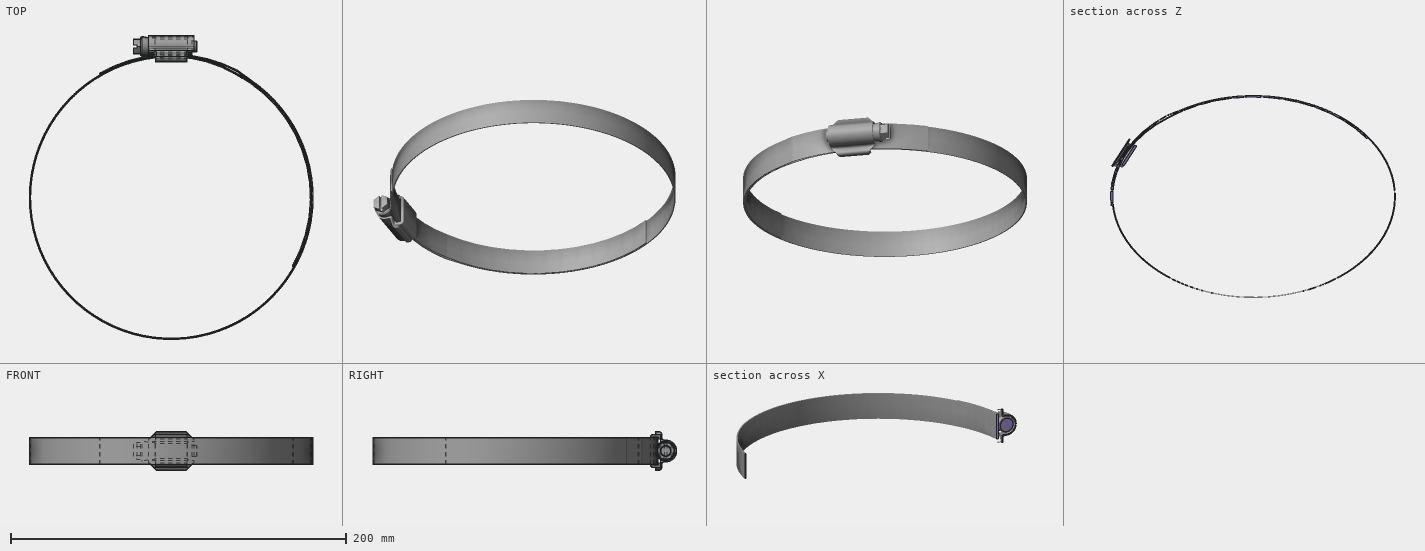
import cadquery as cq
import math


band_radius = 84.7
band_thickness = 0.82
band_pitch = 0.9
band_width = 16.0
inner_end_angle = -29.5
inner_drift_start = 62.6
inner_drift_end = 88.0
joggle_start = 52.0 + 360
joggle_end = 62.4 + 360
outer_end_angle = 120.0 + 360

screw_axis_y = 90.2
hex_flats = 8.9
hex_end_x = -22.7
head_start_x = -18.3
head_radius = 6.0
head_chamfer = 0.7
neck_radius = 5.3
collar_radius = 5.0
collar_inner_x = 9.8
rear_collar_end_x = 12.3
shaft_radius = 4.4
tip_radius = 3.3
tip_end_x = 15.5
tip_chamfer = 0.4
slot_width = 1.6
slot_depth = 2.2

housing_length = 27.2
housing_radius = 6.5
housing_sheet = 0.9
flange_top_y = 87.8
flange_root_fillet = 1.3
clip_width = 23.0
lip_bottom_y = 84.2
lip_round = 1.6
lip_length = 17.8

saddle_length = 18.5
saddle_half_width = 10.0
saddle_bottom_y = 80.9
saddle_wall = 1.8
saddle_round = 2.2
saddle_lip_y = 85.8
saddle_mouth_z = 7.0

loop_inside = band_radius - band_thickness
flange_bottom_y = flange_top_y - housing_sheet
housing_end_x = housing_length / 2
flange_tip_z = clip_width / 2


def polar(radius, angle):
    """Point at a radius and an angle in degrees about the band axis."""
    return (radius * math.cos(math.radians(angle)), radius * math.sin(math.radians(angle)))


def drift_middle(radius):
    """Middle of the arc that leaves a circle tangentially and ends one pitch inside it."""
    end_radius = radius - band_pitch
    span = math.radians(inner_drift_end - inner_drift_start)
    center_shift = (radius**2 - end_radius**2) / (2 * (radius - end_radius * math.cos(span)))
    center_x, center_y = polar(center_shift, inner_drift_end)
    start_x, start_y = polar(end_radius, inner_drift_start)
    start_angle = math.degrees(math.atan2(start_y - center_y, start_x - center_x))
    middle_x, middle_y = polar(radius - center_shift, (start_angle + inner_drift_end) / 2)
    return (center_x + middle_x, center_y + middle_y)


def band_side(radius):
    """Corners of one side of the strip, from inner to outer free end, and its arc midpoints.

    The midpoint list has one entry per stretch between corners; None marks a straight one.
    """
    inner = radius - band_pitch
    outer = radius + band_pitch
    corners = [
        polar(inner, inner_end_angle),
        polar(inner, inner_drift_start),
        polar(radius, inner_drift_end),
        polar(radius, joggle_start),
        polar(outer, joggle_end),
        polar(outer, outer_end_angle),
    ]
    middles = [
        polar(inner, (inner_end_angle + inner_drift_start) / 2),
        drift_middle(radius),
        polar(radius, (inner_drift_end + joggle_start) / 2),
        None,
        polar(outer, (joggle_end + outer_end_angle) / 2),
    ]
    return corners, middles


def trace(outline, corners, middles):
    """Continue an outline from the first corner through the others."""
    for corner, middle in zip(corners[1:], middles):
        if middle is None:
            outline = outline.lineTo(*corner)
        else:
            outline = outline.threePointArc(middle, corner)
    return outline


def make_band():
    """Overlapping strip: inner layer, drift outwards, loop, joggle, outer layer."""
    inside_corners, inside_middles = band_side(loop_inside)
    outside_corners, outside_middles = band_side(band_radius)
    outline = cq.Workplane("XY").moveTo(*inside_corners[0])
    outline = trace(outline, inside_corners, inside_middles)
    outline = outline.lineTo(*outside_corners[-1])
    outline = trace(outline, outside_corners[::-1], outside_middles[::-1])
    return outline.close().extrude(band_width / 2, both=True)


def screw_plane(x):
    """YZ workplane at x, centred on the screw axis and facing +X."""
    return cq.Workplane("YZ", origin=(x, screw_axis_y, 0))


def make_screw():
    """Slotted hexagon in front of a turned head, shaft with two collars, and tip."""
    turned_profile = [
        (head_start_x, 0),
        (head_start_x, head_radius - head_chamfer),
        (head_start_x + head_chamfer, head_radius),
        (-housing_end_x, neck_radius),
        (-housing_end_x, collar_radius),
        (-collar_inner_x, collar_radius),
        (-collar_inner_x, shaft_radius),
        (collar_inner_x, shaft_radius),
        (collar_inner_x, collar_radius),
        (rear_collar_end_x, collar_radius),
        (rear_collar_end_x, tip_radius),
        (tip_end_x - tip_chamfer, tip_radius),
        (tip_end_x, tip_radius - tip_chamfer),
        (tip_end_x, 0),
    ]
    turned = (
        cq.Workplane("XY", origin=(0, screw_axis_y, 0))
        .polyline(turned_profile)
        .close()
        .revolve(360, (0, 0, 0), (1, 0, 0))
    )
    hex_corners = hex_flats / math.cos(math.radians(30))
    hexagon = (
        screw_plane(hex_end_x)
        .transformed(rotate=(0, 0, 90))
        .polygon(6, hex_corners)
        .extrude(head_start_x - hex_end_x)
    )
    slot = screw_plane(hex_end_x).rect(slot_width, hex_corners).extrude(slot_depth)
    return turned.union(hexagon).cut(slot)


def make_housing():
    """Arch with outward flanges and down-turned lips, its flange ends cut at 45 degrees."""
    inside_radius = housing_radius - housing_sheet
    lip_inside_z = saddle_half_width
    diagonal = math.sqrt(0.5)
    root_center_y = flange_top_y + flange_root_fillet
    root_center_z = housing_radius + flange_root_fillet
    root_mid = (
        root_center_y - flange_root_fillet * diagonal,
        root_center_z - flange_root_fillet * diagonal,
    )
    lip_center_y = flange_top_y - lip_round
    lip_center_z = flange_tip_z - lip_round
    lip_mid = (lip_center_y + lip_round * diagonal, lip_center_z + lip_round * diagonal)
    half = (
        cq.Workplane("YZ", origin=(-housing_end_x, 0, 0))
        .moveTo(screw_axis_y + housing_radius, 0)
        .threePointArc(
            (screw_axis_y + housing_radius * diagonal, housing_radius * diagonal),
            (screw_axis_y, housing_radius),
        )
        .lineTo(root_center_y, housing_radius)
        .threePointArc(root_mid, (flange_top_y, root_center_z))
        .lineTo(flange_top_y, lip_center_z)
        .threePointArc(lip_mid, (lip_center_y, flange_tip_z))
        .lineTo(lip_bottom_y, flange_tip_z)
        .lineTo(lip_bottom_y, lip_inside_z)
        .lineTo(flange_bottom_y, lip_inside_z)
        .lineTo(flange_bottom_y, inside_radius)
        .lineTo(screw_axis_y, inside_radius)
        .threePointArc(
            (screw_axis_y + inside_radius * diagonal, inside_radius * diagonal),
            (screw_axis_y + inside_radius, 0),
        )
        .close()
        .extrude(housing_length)
    )
    sheet = half.union(half.mirror("XY"))

    lip_end_x = lip_length / 2
    corner = housing_end_x - lip_end_x
    plan = (
        cq.Workplane("XZ")
        .rect(housing_length, 2 * flange_tip_z)
        .extrude(-(screw_axis_y + 2 * housing_radius))
        .edges("|Y")
        .chamfer(corner)
    )
    return sheet.intersect(plan)


def make_saddle():
    """Channel with rounded outer corners and small inward lips at its open side."""
    height = flange_bottom_y - saddle_bottom_y
    block = (
        cq.Workplane("XY")
        .box(saddle_length, height, 2 * saddle_half_width, centered=(True, False, True))
        .edges("|X and <Y")
        .fillet(saddle_round)
    )
    channel = cq.Workplane("XY", origin=(0, saddle_wall, 0)).box(
        saddle_length,
        saddle_lip_y - saddle_bottom_y - saddle_wall,
        2 * (saddle_half_width - saddle_wall),
        centered=(True, False, True),
    )
    mouth = cq.Workplane("XY", origin=(0, saddle_wall, 0)).box(
        saddle_length, height, 2 * saddle_mouth_z, centered=(True, False, True)
    )
    return block.cut(channel).cut(mouth).translate((0, saddle_bottom_y, 0))


band = make_band()
screw = make_screw()
housing = make_housing()
saddle = make_saddle()

bodies = [band, screw, housing, saddle]
result = cq.Compound.makeCompound([body.solids().val() for body in bodies])